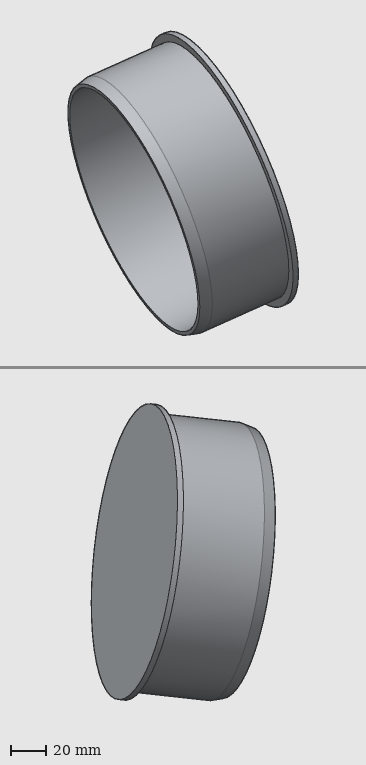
import cadquery as cq
import math

flange_diameter = 170.0
body_diameter = 160.0
bore_diameter = 151.6
total_length = 60.5
flange_thickness = 3.5
floor_thickness = flange_thickness
lead_in_length = 7.1
lead_in_angle = 15.0

flange_radius = flange_diameter / 2
body_radius = body_diameter / 2
bore_radius = bore_diameter / 2
tip_radius = body_radius - lead_in_length * math.tan(math.radians(lead_in_angle))

open_end = -total_length / 2
closed_end = total_length / 2
flange_front = closed_end - flange_thickness
floor_face = closed_end - floor_thickness

half_section = [
    (0, closed_end),
    (flange_radius, closed_end),
    (flange_radius, flange_front),
    (body_radius, flange_front),
    (body_radius, open_end + lead_in_length),
    (tip_radius, open_end),
    (bore_radius, open_end),
    (bore_radius, floor_face),
    (0, floor_face),
]

result = (
    cq.Workplane("XY")
    .polyline(half_section)
    .close()
    .revolve(360, (0, 0, 0), (0, 1, 0))
)